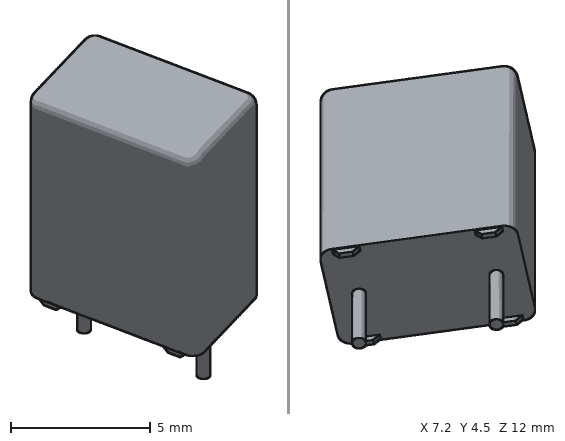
import cadquery as cq

case_length = 7.2
case_width = 4.5
case_radius = 0.5

pin_diameter = 0.5
pin_pitch = 5.0
pin_length = 2.75
pin_embed = 0.12

foot_top_length = 1.0
foot_bottom_length = 0.5
foot_height = 0.25
foot_thickness = 0.2
foot_inset = 0.05

total_height = 12.0
case_height = total_height - pin_length

foot_x = case_length / 2 - case_radius - foot_top_length / 2
foot_y = case_width / 2 - foot_inset - foot_thickness / 2


def make_case():
    """Box standing on Z = 0, rounded everywhere except around its flat base."""
    box = cq.Workplane("XY").box(case_length, case_width, case_height, centered=(True, True, False))
    return box.edges("|Z or >Z").fillet(case_radius)


def make_pin(x):
    """Round lead hanging below the case and rooted slightly inside it."""
    start = cq.Workplane("XY", origin=(x, 0, -pin_length))
    return start.circle(pin_diameter / 2).extrude(pin_length + pin_embed)


def make_foot(x, y):
    """Trapezoidal standoff, narrowing downward from the case base."""
    half_top = foot_top_length / 2
    half_bottom = foot_bottom_length / 2
    outline = [
        (-half_top, 0),
        (half_top, 0),
        (half_bottom, -foot_height),
        (-half_bottom, -foot_height),
    ]
    profile = cq.Workplane("XZ", origin=(x, y, 0)).polyline(outline).close()
    return profile.extrude(foot_thickness / 2, both=True)


result = make_case()
for side_x in (-1, 1):
    result = result.union(make_pin(side_x * pin_pitch / 2))
    for side_y in (-1, 1):
        result = result.union(make_foot(side_x * foot_x, side_y * foot_y))